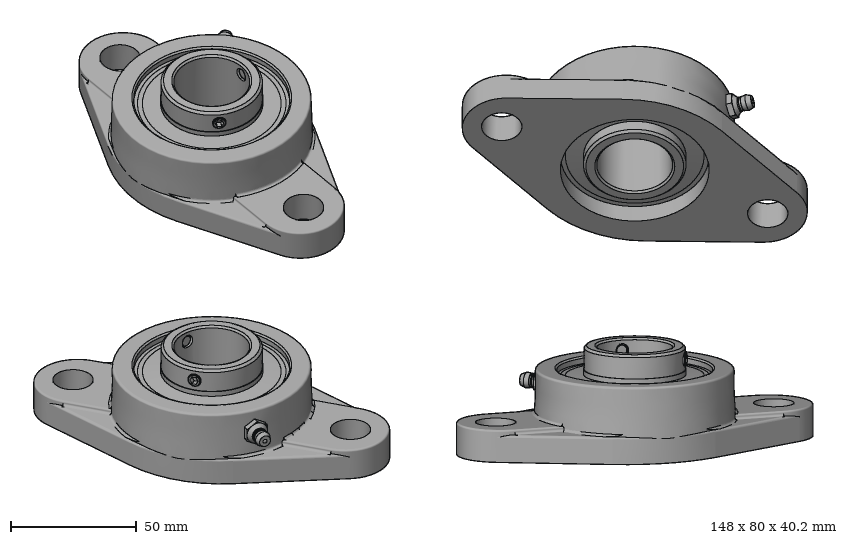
import math

import cadquery as cq


total_length = 148.0
total_width = 80.0
lug_radius = 17.5
lug_center = total_length / 2 - lug_radius
bolt_spacing = 117.0
bolt_hole_diameter = 16.0
pad_height = 13.0
web_height = 11.0
pad_round = 0.8
side_arc_radius = 52.0
side_arc_center = side_arc_radius - total_width / 2

hub_height = 31.0
hub_top_radius = 39.5
hub_base_radius = total_width / 2
edge_round = 1.0
counterbore_radius = 62.02 / 2
mouth_chamfer = 0.7
mouth_radius = counterbore_radius + mouth_chamfer

insert_center_z = 18.0
outer_ring_inner_radius = 55.1 / 2
outer_ring_face_radius = 29.5
outer_ring_half_width = 10.1
sphere_radius = math.hypot(outer_ring_face_radius, outer_ring_half_width)
bore_radius = 30.16 / 2
inner_ring_length = 38.1
inner_ring_top = 40.2
inner_ring_bottom = inner_ring_top - inner_ring_length
collar_radius = 40.28 / 2
shoulder_radius = 40.79 / 2
shoulder_top = 30.6
collar_chamfer = 1.0
bore_chamfer = 0.8
seal_rise = 0.4
seal_thickness = 2.0

screw_diameter = 5.36
screw_z = inner_ring_top - 5.0
screw_angles = (90.0, -30.0)
screw_inner_end = bore_radius + 0.5
screw_outer_end = collar_radius + 0.7
screw_chamfer = 0.3
screw_tip_chamfer = 0.6
socket_width = 3.0
socket_depth = 2.5

nipple_angle = 135.0
nipple_z = 22.0
nipple_hex_width = 9.0
nipple_hex_turn = 30.0
nipple_hex_start = 39.9
nipple_hex_end = 42.4
nipple_collar_radius = 5.99 / 2
nipple_cone_end = 44.0
nipple_collar_end = 44.5
nipple_neck_radius = 2.6
nipple_neck_end = 45.4
nipple_head_foot_radius = 2.9
nipple_head_radius = 6.4 / 2
nipple_head_crest = 47.5
nipple_tip = 49.6
nipple_tip_radius = 2.4
nipple_ball_diameter = 2.0
nipple_ball_center = 49.1
nipple_shank_radius = 3.0
nipple_shank_start = 35.0


def revolve_about_z(points):
    """Full turn of a closed (radius, z) polygon about the Z axis."""
    return cq.Workplane("XZ").polyline(points).close().revolve(360, (0, 0, 0), (0, 1, 0))


def lay_radially(body, angle, z):
    """Turn a body built along +Z so that it points outward from the shaft axis at angle and height z."""
    return body.rotate((0, 0, 0), (0, 1, 0), 90).rotate((0, 0, 0), (0, 0, 1), angle).translate((0, 0, z))


def flange_outline(height, inset=0.0):
    """Oval plate: two lug arcs joined by tangent lines to two flatter side arcs, all moved in by inset."""
    lug_arc = lug_radius - inset
    side_arc = side_arc_radius - inset
    end_x = total_length / 2 - inset
    apex_y = total_width / 2 - inset
    lean = math.atan2(side_arc_center, lug_center)
    center_distance = math.hypot(side_arc_center, lug_center)
    tangent_angle = lean + math.acos((side_arc_radius - lug_radius) / center_distance)
    lug_x = lug_center + lug_arc * math.cos(tangent_angle)
    lug_y = lug_arc * math.sin(tangent_angle)
    side_x = side_arc * math.cos(tangent_angle)
    side_y = side_arc * math.sin(tangent_angle) - side_arc_center
    return (
        cq.Workplane("XY")
        .moveTo(-side_x, side_y)
        .threePointArc((0, apex_y), (side_x, side_y))
        .lineTo(lug_x, lug_y)
        .threePointArc((end_x, 0), (lug_x, -lug_y))
        .lineTo(side_x, -side_y)
        .threePointArc((0, -apex_y), (-side_x, -side_y))
        .lineTo(-lug_x, -lug_y)
        .threePointArc((-end_x, 0), (-lug_x, lug_y))
        .close()
        .extrude(height)
    )


def make_pad():
    """Raised pad over both lugs, rounded at its top edge."""
    pad = cq.Workplane("XY").slot2D(total_length, 2 * lug_radius).extrude(pad_height)
    return pad.faces(">Z").edges().fillet(pad_round)


def make_pad_root_fillets():
    """Concave fillets where the straight pad walls meet the web."""
    fillet_end = lug_radius + edge_round
    fillet_top = web_height + edge_round
    middle = edge_round * (1 - math.sqrt(0.5))
    profile = (
        cq.Workplane("YZ", origin=(-lug_center, 0, 0))
        .moveTo(lug_radius, web_height)
        .lineTo(fillet_end, web_height)
        .threePointArc((lug_radius + middle, web_height + middle), (lug_radius, fillet_top))
        .close()
    )
    fillet = profile.extrude(2 * lug_center)
    return fillet.union(fillet.mirror("XZ"))


def hub_radius(z):
    """Outer radius of the tapered hub at height z."""
    taper = (hub_base_radius - hub_top_radius) / (hub_height - web_height)
    return hub_top_radius + taper * (hub_height - z)


def make_hub():
    """Tapered hub with a rounded top edge."""
    hub = revolve_about_z([
        (0, 0),
        (hub_base_radius, 0),
        (hub_base_radius, web_height),
        (hub_top_radius, hub_height),
        (0, hub_height),
    ])
    return hub.faces(">Z").edges().fillet(edge_round)


def make_hub_root_fillet(floor):
    """Concave fillet ring between the hub and a flat floor."""
    root = hub_radius(floor)
    top = floor + edge_round
    middle = edge_round * (1 - math.sqrt(0.5))
    return (
        cq.Workplane("XZ")
        .moveTo(root - edge_round, floor)
        .lineTo(root + edge_round, floor)
        .threePointArc((root + middle, floor + middle), (hub_radius(top), top))
        .lineTo(root - edge_round, top)
        .close()
        .revolve(360, (0, 0, 0), (0, 1, 0))
    )


def make_seat():
    """Bore of the housing: chamfered counterbore down to the insert face, then a spherical seat."""
    seat_bottom = insert_center_z - outer_ring_half_width
    seat_top = insert_center_z + outer_ring_half_width
    return (
        cq.Workplane("XZ")
        .lineTo(outer_ring_face_radius, 0)
        .lineTo(outer_ring_face_radius, seat_bottom)
        .threePointArc((sphere_radius, insert_center_z), (outer_ring_face_radius, seat_top))
        .lineTo(counterbore_radius, seat_top)
        .lineTo(counterbore_radius, hub_height - mouth_chamfer)
        .lineTo(mouth_radius, hub_height)
        .lineTo(0, hub_height)
        .close()
        .revolve(360, (0, 0, 0), (0, 1, 0))
    )


def make_housing():
    web = flange_outline(web_height).faces(">Z").edges().fillet(edge_round)
    pad = make_pad()
    outline = flange_outline(hub_height)
    pad_root = make_hub_root_fillet(pad_height).intersect(
        cq.Workplane("XY").box(total_length, 2 * (lug_radius - pad_round), 2 * hub_height)
    )
    web_root = make_hub_root_fillet(web_height).intersect(flange_outline(hub_height, edge_round))
    body = web.union(pad).union(make_pad_root_fillets().intersect(outline))
    body = body.union(make_hub()).union(web_root).union(pad_root)
    bolt_holes = (
        cq.Workplane("XY")
        .pushPoints([(-bolt_spacing / 2, 0), (bolt_spacing / 2, 0)])
        .circle(bolt_hole_diameter / 2)
        .extrude(hub_height)
    )
    return body.cut(bolt_holes).cut(make_seat())


def make_outer_ring():
    """Ring with a spherical outside."""
    low = insert_center_z - outer_ring_half_width
    high = insert_center_z + outer_ring_half_width
    return (
        cq.Workplane("XZ")
        .moveTo(outer_ring_inner_radius, low)
        .lineTo(outer_ring_face_radius, low)
        .threePointArc((sphere_radius, insert_center_z), (outer_ring_face_radius, high))
        .lineTo(outer_ring_inner_radius, high)
        .close()
        .revolve(360, (0, 0, 0), (0, 1, 0))
    )


def make_inner_ring():
    """Extended inner ring with a chamfered collar and two set screw holes."""
    ring = revolve_about_z([
        (bore_radius, inner_ring_bottom + bore_chamfer),
        (bore_radius + bore_chamfer, inner_ring_bottom),
        (shoulder_radius - collar_chamfer, inner_ring_bottom),
        (shoulder_radius, inner_ring_bottom + collar_chamfer),
        (shoulder_radius, shoulder_top),
        (collar_radius, shoulder_top),
        (collar_radius, inner_ring_top - collar_chamfer),
        (collar_radius - collar_chamfer, inner_ring_top),
        (bore_radius + bore_chamfer, inner_ring_top),
        (bore_radius, inner_ring_top - bore_chamfer),
    ])
    hole = cq.Workplane("XY").circle(screw_diameter / 2).extrude(screw_outer_end)
    for angle in screw_angles:
        ring = ring.cut(lay_radially(hole, angle, screw_z))
    return ring


def make_seal(side):
    """Coned seal washer between the rings; side is 1 at the top of the insert and -1 at the bottom."""
    rim = outer_ring_half_width
    profile = [
        (outer_ring_inner_radius, rim),
        (shoulder_radius, rim + seal_rise),
        (shoulder_radius, rim + seal_rise - seal_thickness),
        (outer_ring_inner_radius, rim - seal_thickness),
    ]
    return revolve_about_z([(radius, insert_center_z + side * height) for radius, height in profile])


def make_set_screw(angle):
    """Hexagon socket set screw, its socket facing outward."""
    screw = cq.Workplane("XY").workplane(offset=screw_inner_end).circle(screw_diameter / 2)
    screw = screw.extrude(screw_outer_end - screw_inner_end)
    screw = screw.faces(">Z").chamfer(screw_chamfer).faces("<Z").chamfer(screw_tip_chamfer)
    socket = (
        cq.Workplane("XY")
        .workplane(offset=screw_outer_end - socket_depth)
        .polygon(6, socket_width, circumscribed=True)
        .extrude(socket_depth)
    )
    return lay_radially(screw.cut(socket), angle, screw_z)


def make_nipple():
    """Grease nipple with a shank, a hexagon coned at its outer end, a waisted head and a ball in its tip."""
    turned = revolve_about_z([
        (0, nipple_shank_start),
        (nipple_shank_radius, nipple_shank_start),
        (nipple_shank_radius, nipple_hex_end),
        (nipple_hex_width / 2, nipple_hex_end),
        (nipple_collar_radius, nipple_cone_end),
        (nipple_collar_radius, nipple_collar_end),
        (nipple_neck_radius, nipple_collar_end),
        (nipple_neck_radius, nipple_neck_end),
        (nipple_head_foot_radius, nipple_neck_end),
        (nipple_head_radius, nipple_head_crest),
        (nipple_tip_radius, nipple_tip),
        (0, nipple_tip),
    ])
    hexagon = (
        cq.Workplane("XY")
        .workplane(offset=nipple_hex_start)
        .polygon(6, nipple_hex_width, circumscribed=True)
        .extrude(nipple_hex_end - nipple_hex_start)
        .rotate((0, 0, 0), (0, 0, 1), nipple_hex_turn)
    )
    ball = cq.Workplane("XY", origin=(0, 0, nipple_ball_center)).sphere(nipple_ball_diameter / 2)
    return lay_radially(turned.union(hexagon).union(ball), nipple_angle, nipple_z)


nipple = make_nipple()
housing = make_housing().cut(nipple)
outer_ring = make_outer_ring()
inner_ring = make_inner_ring()
seals = [make_seal(side) for side in (1, -1)]
set_screws = [make_set_screw(angle) for angle in screw_angles]

bodies = [housing, outer_ring, inner_ring, *seals, *set_screws, nipple]
result = cq.Compound.makeCompound([body.val() for body in bodies])